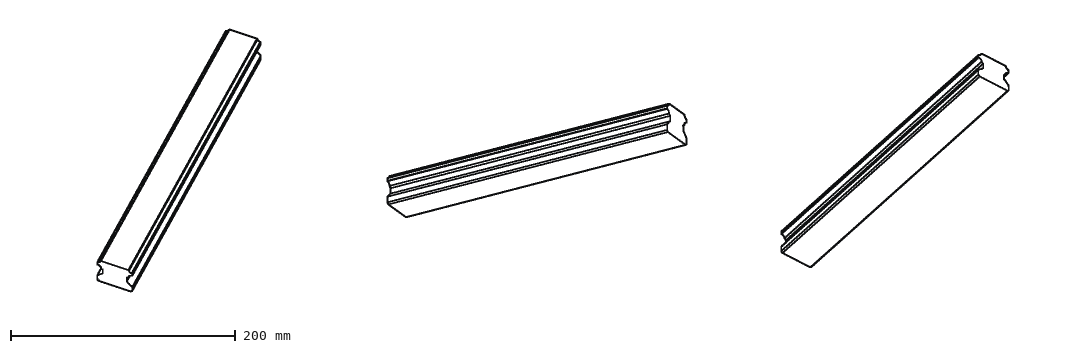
import cadquery as cq
import math

rail_width = 34.0
rail_length = 290.0
rail_height = 29.0
half_width = rail_width / 2

lip_height = 2.5
lip_bottom_z = 22.75
upper_flank_drop = rail_height - lip_bottom_z - lip_height
upper_land = 0.6
lower_land = 0.35
lower_raceway_size = 3.25
upper_raceway_depth = 0.65
lower_raceway_depth = 0.9

waist_width = 23.5
foot_side_top_z = 7.0
foot_chamfer = 1.5

lip_top_z = lip_bottom_z + lip_height
top_edge_x = half_width - upper_flank_drop
waist_x = waist_width / 2
waist_top_z = lip_bottom_z - (half_width - waist_x)
waist_bottom_z = foot_side_top_z + half_width - waist_x

upper_raceway_outer = (half_width - upper_land, lip_top_z + upper_land)
upper_raceway_inner = (top_edge_x + upper_land, rail_height - upper_land)
lower_raceway_outer = (half_width - lower_land, lip_bottom_z - lower_land)
lower_raceway_inner = (
    lower_raceway_outer[0] - lower_raceway_size,
    lower_raceway_outer[1] - lower_raceway_size,
)


def raceway_deepest_point(start, end, depth):
    """Middle of a raceway arc, set off its chord to the left of the way from start to end."""
    run = end[0] - start[0]
    rise = end[1] - start[1]
    chord = math.hypot(run, rise)
    mid_x = (start[0] + end[0]) / 2 - depth * rise / chord
    mid_z = (start[1] + end[1]) / 2 + depth * run / chord
    return (mid_x, mid_z)


def half_profile():
    """Right half of the rail section, closed along the middle plane."""
    lower_deepest = raceway_deepest_point(lower_raceway_inner, lower_raceway_outer, lower_raceway_depth)
    upper_deepest = raceway_deepest_point(upper_raceway_outer, upper_raceway_inner, upper_raceway_depth)
    return (
        cq.Workplane("XZ")
        .moveTo(0, 0)
        .lineTo(half_width - foot_chamfer, 0)
        .lineTo(half_width, foot_chamfer)
        .lineTo(half_width, foot_side_top_z)
        .lineTo(waist_x, waist_bottom_z)
        .lineTo(waist_x, waist_top_z)
        .lineTo(*lower_raceway_inner)
        .threePointArc(lower_deepest, lower_raceway_outer)
        .lineTo(half_width, lip_bottom_z)
        .lineTo(half_width, lip_top_z)
        .lineTo(*upper_raceway_outer)
        .threePointArc(upper_deepest, upper_raceway_inner)
        .lineTo(top_edge_x, rail_height)
        .lineTo(0, rail_height)
        .close()
    )


def rail():
    """Full rail, centred along Y and symmetric about the YZ plane."""
    half = half_profile().extrude(rail_length / 2, both=True)
    return half.union(half.mirror("YZ")).clean()


result = rail()